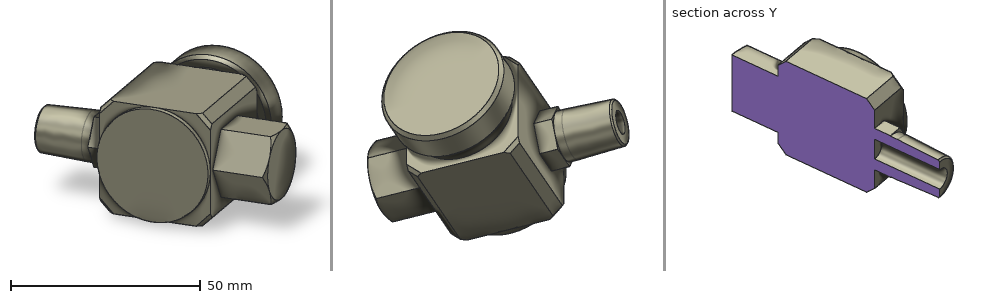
import cadquery as cq
import math

total_length = 68.3
block_side = 31.8
block_depth = 31.7
edge_chamfer = 2.65
corner_chamfer = 1.0
port_to_block_front = 12.7

cover_thickness = 1.65
neck_diameter = 28.5
neck_length = 5.1
cap_diameter = 34.9
cap_length = 9.4
cap_chamfer = 1.0

male_hex_flats = 14.2
male_hex_length = 5.2
collar_diameter = 13.9
collar_length = 2.4
taper_tip_diameter = 12.9
tip_chamfer = 0.5
male_length = 21.4
bore_diameter = 6.5

female_hex_flats = 19.2
female_chamfer_angle = 30.0

half_side = block_side / 2
block_front = -port_to_block_front
block_back = block_front + block_depth
cap_front = block_back + neck_length
female_length = total_length - block_side - male_length


def hex_bar(flats, start_x, length):
    """Hexagonal bar along X with flats facing up and down and corners on Y."""
    corner_diameter = flats / math.cos(math.radians(30))
    return cq.Workplane("YZ", origin=(start_x, 0, 0)).polygon(6, corner_diameter).extrude(length)


def disc(diameter, start_y, length):
    """Cylinder along +Y on the block's centre line."""
    return cq.Workplane("XZ", origin=(0, start_y, 0)).circle(diameter / 2).extrude(-length)


def make_block():
    block = cq.Workplane("XY").box(block_side, block_depth, block_side)
    block = block.edges("|Y").chamfer(edge_chamfer)

    side_to_slope = math.sqrt(2) * (half_side - edge_chamfer / 2)
    half_depth = block_depth / 2
    slab = (
        cq.Workplane("XY")
        .box(2 * side_to_slope, block_depth, 2 * side_to_slope)
        .faces("<Y or >Y")
        .chamfer(corner_chamfer)
        .rotate((0, 0, 0), (0, 1, 0), 45)
    )
    return block.intersect(slab).translate((0, block_front + half_depth, 0))


def make_male_fitting():
    hex_start = -half_side - male_hex_length
    collar_start = hex_start - collar_length
    tip = -half_side - male_length
    taper_start = tip + tip_chamfer
    tip_radius = taper_tip_diameter / 2
    collar_radius = collar_diameter / 2
    spigot = (
        cq.Workplane("XY")
        .moveTo(tip, 0)
        .lineTo(tip, tip_radius - tip_chamfer)
        .lineTo(taper_start, tip_radius)
        .lineTo(collar_start, collar_radius)
        .lineTo(hex_start, collar_radius)
        .lineTo(hex_start, 0)
        .close()
        .revolve(360, (0, 0, 0), (1, 0, 0))
    )
    fitting = spigot.union(hex_bar(male_hex_flats, hex_start, male_hex_length))
    bore = cq.Workplane("YZ", origin=(tip, 0, 0)).circle(bore_diameter / 2).extrude(male_length)
    return fitting.cut(bore)


def make_female_fitting():
    end_radius = female_hex_flats / 2
    corner_radius = end_radius / math.cos(math.radians(30))
    chamfer_length = (corner_radius - end_radius) * math.tan(math.radians(female_chamfer_angle))
    end_x = half_side + female_length
    trim = (
        cq.Workplane("XY")
        .moveTo(half_side, 0)
        .lineTo(half_side, corner_radius)
        .lineTo(end_x - chamfer_length, corner_radius)
        .lineTo(end_x, end_radius)
        .lineTo(end_x, 0)
        .close()
        .revolve(360, (0, 0, 0), (1, 0, 0))
    )
    return hex_bar(female_hex_flats, half_side, female_length).intersect(trim)


cover = disc(block_side, block_front - cover_thickness, cover_thickness)
neck = disc(neck_diameter, block_back, neck_length)
cap = disc(cap_diameter, cap_front, cap_length).edges().chamfer(cap_chamfer)

result = make_block()
for feature in (cover, neck, cap, make_male_fitting(), make_female_fitting()):
    result = result.union(feature)